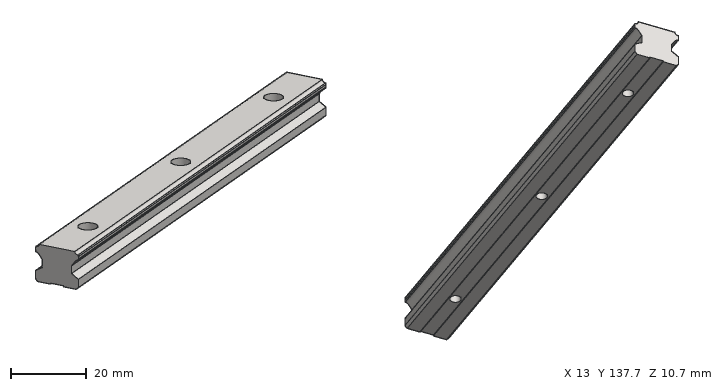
import cadquery as cq
import math

length = 137.7
width = 13.0
height = 10.7
half_width = width / 2

base_chamfer = 0.7
base_groove_half_width = 1.9
base_groove_depth = 0.3
base_side_top = 3.0
web_half_width = 4.4
web_bottom = 4.3
web_top = 6.5
race_radius = 1.1
race_turn = math.radians(55)
land_bottom = 8.4
land_chamfer_height = 0.4
land_chamfer_depth = 0.1
land_top = 9.9
top_half_width = 5.4

hole_count = 3
hole_pitch = 51.6
hole_diameter = 3.0
counterbore_diameter = 5.2
counterbore_depth = 4.5


def make_rail():
    """Extrude the symmetric section along the rail length."""
    land_shoulder = half_width - land_chamfer_depth
    arc_end_x = land_shoulder - race_radius * math.sin(race_turn)
    arc_end_z = land_bottom - race_radius * (1 - math.cos(race_turn))
    arc_mid = (
        land_shoulder - race_radius * math.sin(race_turn / 2),
        land_bottom - race_radius * (1 - math.cos(race_turn / 2)),
    )
    relief_mid = (
        land_shoulder - (land_shoulder - top_half_width) * math.cos(math.pi / 4),
        height - (height - land_top) * math.sin(math.pi / 4),
    )
    half_section = (
        cq.Workplane("XZ", origin=(0, length / 2, 0))
        .moveTo(0, base_groove_depth)
        .lineTo(base_groove_half_width, base_groove_depth)
        .lineTo(base_groove_half_width, 0)
        .lineTo(half_width - base_chamfer, 0)
        .lineTo(half_width, base_chamfer)
        .lineTo(half_width, base_side_top)
        .lineTo(web_half_width, web_bottom)
        .lineTo(web_half_width, web_top)
        .lineTo(arc_end_x, arc_end_z)
        .threePointArc(arc_mid, (land_shoulder, land_bottom))
        .lineTo(half_width, land_bottom + land_chamfer_height)
        .lineTo(half_width, land_top - land_chamfer_height)
        .lineTo(land_shoulder, land_top)
        .threePointArc(relief_mid, (top_half_width, height))
        .lineTo(0, height)
        .mirrorY()
    )
    return half_section.extrude(length)


def hole_centers():
    """Evenly spaced hole positions, centered on the rail."""
    first_y = -hole_pitch * (hole_count - 1) / 2
    return [(0, first_y + index * hole_pitch) for index in range(hole_count)]


result = (
    make_rail()
    .faces(">Z")
    .workplane(origin=(0, 0, height))
    .pushPoints(hole_centers())
    .cboreHole(hole_diameter, counterbore_diameter, counterbore_depth)
)